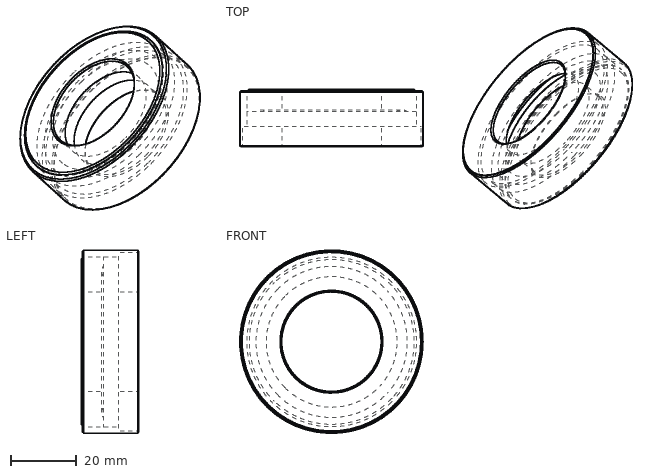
import cadquery as cq

BORE_DIAMETER = 30.15
BORE_CHAMFER = 0.5
TOTAL_LENGTH = 17.45

SLEEVE_DIAMETER = 55.55
SLEEVE_FACE_DIAMETER = 54.55
REAR_STEP = 0.35
FRONT_CHAMFER_LENGTH = 0.35
REAR_CHAMFER = 0.5

FRONT_WASHER_DIAMETER = 54.15
FRONT_WASHER_THICKNESS = 6.2

REAR_WASHER_DIAMETER = 51.5
REAR_WASHER_CHAMFER = 0.7
WASHER_GAP = 4.6
GROOVE_PITCH_RADIUS = 21.4
GROOVE_SECTION_RADIUS = 2.8

bore_radius = BORE_DIAMETER / 2
sleeve_radius = SLEEVE_DIAMETER / 2
sleeve_length = TOTAL_LENGTH - REAR_STEP
front_washer_radius = FRONT_WASHER_DIAMETER / 2
rear_washer_radius = REAR_WASHER_DIAMETER / 2
rear_washer_front = FRONT_WASHER_THICKNESS + WASHER_GAP
groove_center_y = FRONT_WASHER_THICKNESS + WASHER_GAP / 2


def turn(profile):
    """Revolve a closed (radius, Y) profile once around the Y axis."""
    return profile.close().revolve(360, (0, 0, 0), (0, 1, 0))


def make_sleeve():
    """Outer sleeve, counterbored at the front for the larger washer."""
    return turn(
        cq.Workplane("XY")
        .moveTo(front_washer_radius, 0)
        .lineTo(SLEEVE_FACE_DIAMETER / 2, 0)
        .lineTo(sleeve_radius, FRONT_CHAMFER_LENGTH)
        .lineTo(sleeve_radius, sleeve_length - REAR_CHAMFER)
        .lineTo(sleeve_radius - REAR_CHAMFER, sleeve_length)
        .lineTo(rear_washer_radius, sleeve_length)
        .lineTo(rear_washer_radius, FRONT_WASHER_THICKNESS)
        .lineTo(front_washer_radius, FRONT_WASHER_THICKNESS)
    )


def make_front_washer():
    """Flat washer with a chamfered bore entry."""
    return turn(
        cq.Workplane("XY")
        .moveTo(bore_radius + BORE_CHAMFER, 0)
        .lineTo(front_washer_radius, 0)
        .lineTo(front_washer_radius, FRONT_WASHER_THICKNESS)
        .lineTo(bore_radius, FRONT_WASHER_THICKNESS)
        .lineTo(bore_radius, BORE_CHAMFER)
    )


def make_rear_washer():
    """Washer standing proud of the sleeve, with a round groove in its inner face."""
    blank = turn(
        cq.Workplane("XY")
        .moveTo(bore_radius, rear_washer_front)
        .lineTo(rear_washer_radius, rear_washer_front)
        .lineTo(rear_washer_radius, TOTAL_LENGTH - REAR_WASHER_CHAMFER)
        .lineTo(rear_washer_radius - REAR_WASHER_CHAMFER, TOTAL_LENGTH)
        .lineTo(bore_radius + BORE_CHAMFER, TOTAL_LENGTH)
        .lineTo(bore_radius, TOTAL_LENGTH - BORE_CHAMFER)
    )
    groove = (
        cq.Workplane("XY")
        .center(GROOVE_PITCH_RADIUS, groove_center_y)
        .circle(GROOVE_SECTION_RADIUS)
        .revolve(360, (-GROOVE_PITCH_RADIUS, 0, 0), (-GROOVE_PITCH_RADIUS, 1, 0))
    )
    return blank.cut(groove)


sleeve = make_sleeve()
front_washer = make_front_washer()
rear_washer = make_rear_washer()

result = cq.Compound.makeCompound([sleeve.val(), front_washer.val(), rear_washer.val()])